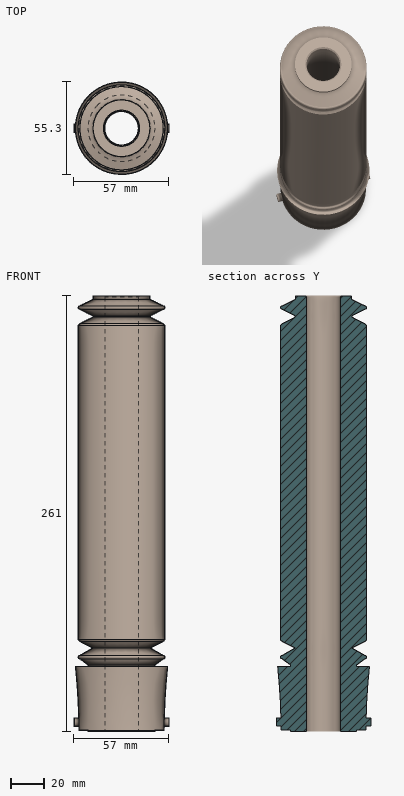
import cadquery as cq

total_height = 261.0
pin_span = 57.0

cup_bottom = 0.8
cup_top = 39.1
cup_top_radius = 55.3 / 2
cup_bottom_radius = 25.5
cup_mid_radius = 26.0
spigot_radius = 40.0 / 2
spigot_top = cup_top + 0.8

body_radius = 52.0 / 2
body_bottom = 54.0
body_top = 244.2
edge_height = 1.0
edge_inset = 1.0
shoulder_radius = body_radius - edge_inset
neck_radius = 17.2
lower_neck_z = 50.0
upper_neck_z = 248.1
upper_neck_height = 0.8
lower_rib_z = 44.5
upper_rib_z = 254.0

collar_radius = 34.0 / 2
collar_height = 2.0
bore_diameter = 20.0
bore_chamfer = 0.8

pin_diameter = 5.0
pin_z = 5.7


def add_rounded_rib(profile, center_z):
    """Trace the rounded rim of a rib from its lower edge to its upper edge."""
    return profile.lineTo(shoulder_radius, center_z - edge_height).threePointArc(
        (body_radius, center_z), (shoulder_radius, center_z + edge_height)
    )


def make_turned_body():
    """Revolve the outer outline, from the base upward, about the Z axis."""
    profile = (
        cq.Workplane("XZ")
        .lineTo(spigot_radius, 0)
        .lineTo(spigot_radius, cup_bottom)
        .lineTo(cup_bottom_radius, cup_bottom)
        .threePointArc((cup_mid_radius, (cup_bottom + cup_top) / 2), (cup_top_radius, cup_top))
        .lineTo(spigot_radius, cup_top)
        .lineTo(spigot_radius, spigot_top)
    )
    profile = (
        add_rounded_rib(profile, lower_rib_z)
        .lineTo(neck_radius, lower_neck_z)
        .lineTo(shoulder_radius, body_bottom)
        .lineTo(body_radius, body_bottom + edge_height)
        .lineTo(body_radius, body_top - edge_height)
        .lineTo(shoulder_radius, body_top)
        .lineTo(neck_radius, upper_neck_z)
        .lineTo(neck_radius, upper_neck_z + upper_neck_height)
    )
    profile = (
        add_rounded_rib(profile, upper_rib_z)
        .lineTo(collar_radius, total_height - collar_height)
        .lineTo(collar_radius, total_height)
        .lineTo(0, total_height)
        .close()
    )
    return profile.revolve(360, (0, 0, 0), (0, 1, 0))


def make_pins():
    """One rod along X whose two ends stand out of the cup."""
    return (
        cq.Workplane("YZ")
        .center(0, pin_z)
        .circle(pin_diameter / 2)
        .extrude(pin_span / 2, both=True)
    )


def make_bore():
    """Through bore, widened by a small chamfer at its upper mouth."""
    bore_radius = bore_diameter / 2
    return (
        cq.Workplane("XZ")
        .lineTo(bore_radius, 0)
        .lineTo(bore_radius, total_height - bore_chamfer)
        .lineTo(bore_radius + bore_chamfer, total_height)
        .lineTo(0, total_height)
        .close()
        .revolve(360, (0, 0, 0), (0, 1, 0))
    )


result = make_turned_body().union(make_pins()).cut(make_bore())